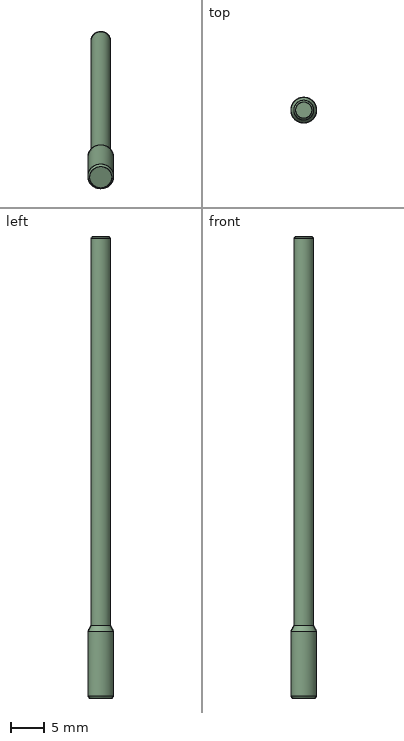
import cadquery as cq

total_length = 70.0

head_diameter = 3.9
head_length = 11.05
head_chamfer_width = 0.3
head_chamfer_height = 0.4
shoulder_height = 0.85

shank_diameter = 3.0
shank_length = total_length - head_length
shank_chamfer_width = 0.3
shank_chamfer_height = 0.3


def revolve_profile(points):
    """Turn a half profile of (radius, z) points about the Z axis."""
    return cq.Workplane("XZ").polyline(points).close().revolve(360, (0, 0), (0, 1))


def make_head():
    """Cylinder with a bottom chamfer and a shoulder tapering to the shank diameter."""
    radius = head_diameter / 2
    return revolve_profile([
        (0, 0),
        (radius - head_chamfer_width, 0),
        (radius, head_chamfer_height),
        (radius, head_length - shoulder_height),
        (shank_diameter / 2, head_length),
        (0, head_length),
    ])


def make_shank():
    """Round rod butted on the head, with a chamfer around its free top end."""
    radius = shank_diameter / 2
    return revolve_profile([
        (0, head_length),
        (radius, head_length),
        (radius, head_length + shank_length - shank_chamfer_height),
        (radius - shank_chamfer_width, head_length + shank_length),
        (0, head_length + shank_length),
    ])


head = make_head()
shank = make_shank()

result = cq.Compound.makeCompound([head.val(), shank.val()])